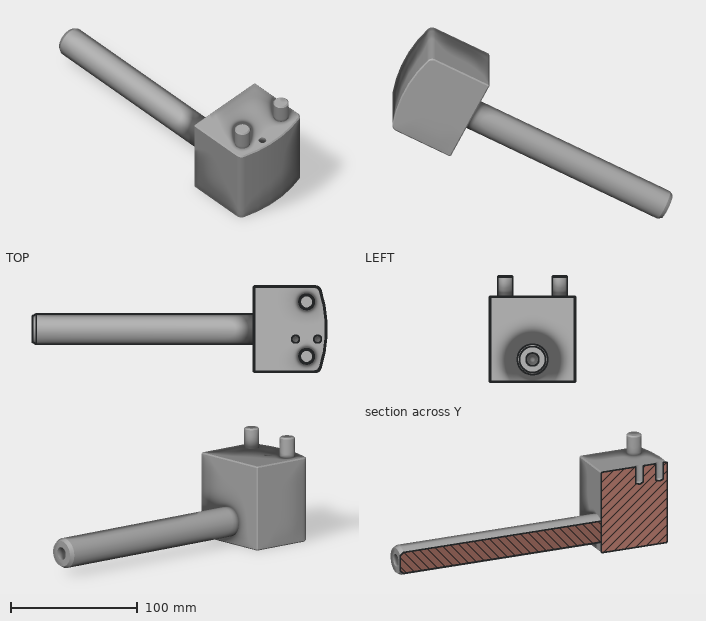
import cadquery as cq
import math

total_length = 232.0

block_length = 58.0
block_width = 68.0
block_height = 68.0
block_chamfer = 1.0
crown_radius = 100.0
crown_corner_radius = 5.0

rod_length = total_length - block_length
rod_diameter = 24.0
rod_axis_height = 18.0
rod_chamfer_length = 3.0
rod_chamfer_angle = 30.0
rod_hole_diameter = 10.2
rod_hole_depth = 23.2

pin_diameter = 12.0
pin_height = 16.0
pin_chamfer = 1.0
pin_spacing = 43.0
pin_x = rod_length + 42.0

small_hole_diameter = 6.0
small_hole_depth = 14.0
small_hole_spacing = 17.5
small_hole_y = -8.0

drill_point_angle = 140.0


def drill(diameter, depth):
    """Drill-shaped cutter entering at the origin along +Z, with its cone beyond the full depth."""
    radius = diameter / 2
    cone_height = radius / math.tan(math.radians(drill_point_angle / 2))
    return (
        cq.Workplane("XZ")
        .lineTo(radius, 0)
        .lineTo(radius, depth)
        .lineTo(0, depth + cone_height)
        .close()
        .revolve(360, (0, 0), (0, 1))
    )


def make_block():
    """Crowned block with broken edges and two blind holes in its top."""
    half_width = block_width / 2
    crown_sagitta = crown_radius - math.sqrt(crown_radius**2 - half_width**2)
    side_end_x = total_length - crown_sagitta
    block = (
        cq.Workplane("XY")
        .moveTo(rod_length, -half_width)
        .lineTo(side_end_x, -half_width)
        .threePointArc((total_length, 0), (side_end_x, half_width))
        .lineTo(rod_length, half_width)
        .close()
        .extrude(block_height)
    )
    block = block.edges("|Z").edges(">X").fillet(crown_corner_radius)
    block = block.faces("<X or <Z or >Z").edges().chamfer(block_chamfer)
    cutter = drill(small_hole_diameter, small_hole_depth).rotate((0, 0, 0), (1, 0, 0), 180)
    for side in (-1, 1):
        hole_x = pin_x + side * small_hole_spacing / 2
        block = block.cut(cutter.translate((hole_x, small_hole_y, block_height)))
    return block


def make_rod():
    """Rod butting against the block, tapered at its free end and drilled along its axis."""
    radius = rod_diameter / 2
    end_radius = radius - rod_chamfer_length * math.tan(math.radians(rod_chamfer_angle))
    rod = (
        cq.Workplane("XY")
        .lineTo(0, end_radius)
        .lineTo(rod_chamfer_length, radius)
        .lineTo(rod_length, radius)
        .lineTo(rod_length, 0)
        .close()
        .revolve(360, (0, 0), (1, 0))
    )
    cutter = drill(rod_hole_diameter, rod_hole_depth).rotate((0, 0, 0), (0, 1, 0), 90)
    return rod.cut(cutter).translate((0, 0, rod_axis_height))


def make_pin(y):
    """Upright pin standing on the block top at the given Y, with a chamfered tip."""
    pin = cq.Workplane("XY").circle(pin_diameter / 2).extrude(pin_height)
    return pin.faces(">Z").chamfer(pin_chamfer).translate((pin_x, y, block_height))


block = make_block()
rod = make_rod()
pins = [make_pin(side * pin_spacing / 2) for side in (-1, 1)]

result = cq.Compound.makeCompound([block.val(), rod.val(), *[pin.val() for pin in pins]])